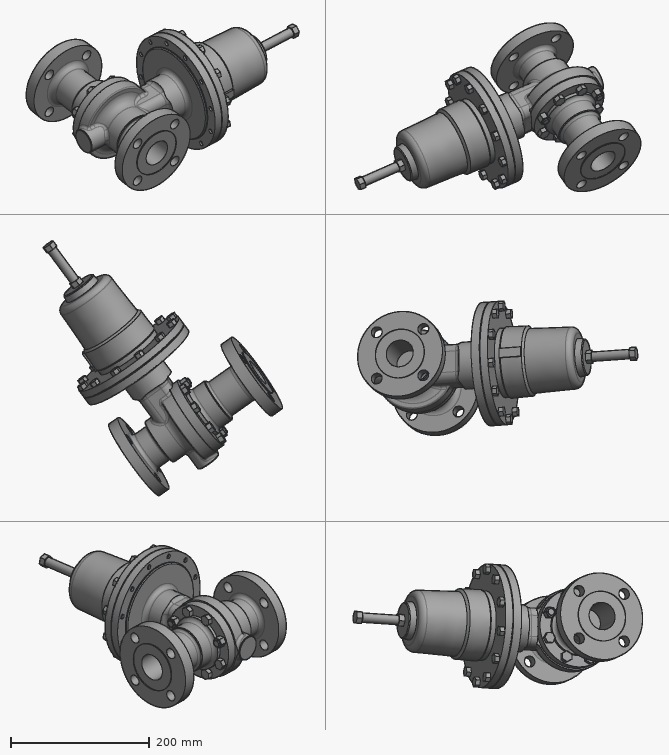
import cadquery as cq
import math


pipe_radius = 29.6
flange_radius = 63.5
raised_face_radius = 36.5
raised_face_height = 1.6
flange_bolt_circle_radius = 49.2
flange_hole_diameter = 15.9
flange_hole_count = 4
bore_diameter = 40.0
bore_depth = 60.0
inlet_face_x = -135.03
face_to_face = 222.25
outlet_face_x = inlet_face_x + face_to_face
inlet_flange_back_x = -115.2
outlet_flange_back_x = 69.0
inlet_hub_fillet = 9.0
outlet_hub_fillet = 6.4

bonnet_hub_radius = 34.5
bonnet_hub_start_x = -67.0
bonnet_hub_chamfer = 1.3
bonnet_step_fillet = 3.8
bonnet_boss_radius = 41.0
bonnet_boss_x = -38.3
bonnet_boss_fillet = 6.2
bonnet_plate_radius = 57.5
bonnet_plate_x = -33.3
bonnet_bolt_circle_radius = 48.0
bonnet_bolt_count = 8
bonnet_bolt_flats = 14.2
bonnet_bolt_head_height = 7.4
bonnet_nut_height = 9.9
bonnet_nut_chamfer_angle = 30.0
bonnet_stud_diameter = 10.0
bonnet_stud_length = 12.3
bonnet_nut_angles = (22.5, 157.5)

body_flange_radius = 59.7
body_flange_x = -18.9
body_flange_edge_radius = 1.8
body_face_x = 0.0
body_radius = 36.0
body_fillet = 15.6
body_end_x = 40.9
body_edge_chamfer = 1.2
body_step_fillet = 2.6

stub_radius = 18.6
stub_end_y = -65.54
stub_chamfer = 1.0
stem_center_x = 1.1
stem_width_x = 50.6
stem_width_z = 57.2
stem_corner_radius = 13.0
stem_top_fillet = 6.5
branch_fillet = 5.0

neck_radius = 34.2
neck_bottom_y = 74.0
neck_fillet = 7.2
lip_radius = 73.0
lip_bottom_y = 103.8
lip_chamfer = 1.6
casing_radius = 89.66
casing_bottom_y = 107.1
casing_top_y = 131.7
diaphragm_radius = 85.0
diaphragm_center_y = 120.0
diaphragm_thickness = 1.2
casing_bolt_circle_radius = 82.0
casing_bolt_count = 12
casing_bolt_flats = 12.7
casing_bolt_head_height = 7.0
casing_hole_diameter = 7.0
casing_hole_depth = 3.0

collar_radius = 50.5
collar_top_y = 139.3
skirt_bottom_radius = 52.0
skirt_bottom_y = 141.0
skirt_top_radius = 51.2
skirt_top_y = 172.2
cover_bottom_radius = 47.2
cover_bottom_y = 175.5
cover_top_radius = 45.2
cover_shoulder_y = 236.4
cover_top_y = 245.9
cover_corner_radius = cover_top_y - cover_shoulder_y
cap_bottom_radius = 28.0
cap_top_radius = 26.5
cap_top_y = 256.8
cap_chamfer = 1.5

screw_radius = 7.0
screw_hex_flats = 16.7
screw_hex_angle = 15.0
lock_nut_top_y = 265.2
screw_head_bottom_y = 321.8
overall_length_y = 396.24
screw_head_top_y = stub_end_y + overall_length_y

vent_width = 14.0
vent_outer_x = 54.0
vent_bottom_y = 139.3
vent_top_y = 171.5

EDGE_PROBE = 0.37
TOUCH_TOLERANCE = 0.001


def disc(plane, radius, start, end):
    """Cylinder on the X axis ("YZ") or the Y axis ("XZ") between two stations."""
    if plane == "YZ":
        return cq.Workplane("YZ").workplane(offset=start).circle(radius).extrude(end - start)
    return cq.Workplane("XZ").workplane(offset=-start).circle(radius).extrude(start - end)


def hexagon(plane, flats, start, length, center=(0, 0), angle=0.0):
    """Hexagonal prism with one corner at the given angle, growing along the plane normal."""
    corner_radius = flats / math.sqrt(3)
    corners = []
    for i in range(6):
        a = math.radians(angle + 60 * i)
        corners.append((center[0] + corner_radius * math.cos(a), center[1] + corner_radius * math.sin(a)))
    return cq.Workplane(plane).workplane(offset=start).polyline(corners).close().extrude(length)


def ring_point(radius, angle):
    """Point on a circle about the origin, with the angle in degrees."""
    a = math.radians(angle)
    return (radius * math.cos(a), radius * math.sin(a))


def arc_to(profile, start, end, center):
    """Add the shorter arc about the centre from start to end to the profile."""
    radius = math.dist(start, center)
    mid = ((start[0] + end[0]) / 2 - center[0], (start[1] + end[1]) / 2 - center[1])
    scale = radius / math.hypot(*mid)
    return profile.threePointArc((center[0] + mid[0] * scale, center[1] + mid[1] * scale), end)


def make_inlet():
    """Inlet flange, pipe and bonnet revolved about the X axis; profile is (x, radius)."""
    hub_end_x = inlet_flange_back_x + inlet_hub_fillet
    step_start_x = bonnet_hub_start_x - bonnet_step_fillet + bonnet_hub_chamfer
    step_end_x = step_start_x + bonnet_step_fillet
    step_top = pipe_radius + bonnet_step_fillet
    boss_fillet_x = bonnet_boss_x - bonnet_boss_fillet
    boss_fillet_top = bonnet_hub_radius + bonnet_boss_fillet
    hub_top = pipe_radius + inlet_hub_fillet
    rf_end_x = inlet_face_x + raised_face_height
    profile = (
        cq.Workplane("XY")
        .moveTo(inlet_face_x, 0)
        .lineTo(inlet_face_x, raised_face_radius)
        .lineTo(rf_end_x, raised_face_radius)
        .lineTo(rf_end_x, flange_radius)
        .lineTo(inlet_flange_back_x, flange_radius)
        .lineTo(inlet_flange_back_x, hub_top)
    )
    profile = arc_to(profile, (inlet_flange_back_x, hub_top), (hub_end_x, pipe_radius), (hub_end_x, hub_top))
    profile = profile.lineTo(step_start_x, pipe_radius)
    profile = arc_to(profile, (step_start_x, pipe_radius), (step_end_x, step_top), (step_start_x, step_top))
    profile = profile.lineTo(step_end_x + bonnet_hub_chamfer, bonnet_hub_radius)
    profile = profile.lineTo(boss_fillet_x, bonnet_hub_radius)
    profile = arc_to(
        profile,
        (boss_fillet_x, bonnet_hub_radius),
        (bonnet_boss_x, boss_fillet_top),
        (boss_fillet_x, boss_fillet_top),
    )
    profile = (
        profile.lineTo(bonnet_boss_x, bonnet_boss_radius)
        .lineTo(bonnet_plate_x, bonnet_boss_radius)
        .lineTo(bonnet_plate_x, bonnet_plate_radius)
        .lineTo(body_flange_x, bonnet_plate_radius)
        .lineTo(body_flange_x, 0)
        .close()
    )
    return profile.revolve(360, (0, 0, 0), (1, 0, 0))


def joint_edges(joined, first, second):
    """Edges of the joined solid that lie on the surfaces of both of its parts."""
    shells = (first.val().Shells()[0], second.val().Shells()[0])
    joint = []
    for edge in joined.edges().vals():
        probe = cq.Vertex.makeVertex(*edge.positionAt(EDGE_PROBE).toTuple())
        if all(shell.distance(probe) < TOUCH_TOLERANCE for shell in shells):
            joint.append(edge)
    return joined.newObject(joint)


def blend(barrel, branch):
    """Join a branch to the barrel with a fillet along their intersection."""
    return joint_edges(barrel.union(branch), barrel, branch).fillet(branch_fillet)


def make_barrel():
    """Body barrel revolved about the X axis, reaching past its flange face by the thickness of the plate."""
    flange_edge_x = body_face_x - body_flange_edge_radius
    edge_top = body_flange_radius - body_flange_edge_radius
    fillet_end_x = body_face_x + body_fillet
    fillet_top = body_radius + body_fillet
    profile = (
        cq.Workplane("XY")
        .moveTo(bonnet_plate_x, 0)
        .lineTo(bonnet_plate_x, body_flange_radius)
        .lineTo(flange_edge_x, body_flange_radius)
    )
    profile = arc_to(
        profile, (flange_edge_x, body_flange_radius), (body_face_x, edge_top), (flange_edge_x, edge_top)
    )
    profile = profile.lineTo(body_face_x, fillet_top)
    profile = arc_to(
        profile, (body_face_x, fillet_top), (fillet_end_x, body_radius), (fillet_end_x, fillet_top)
    )
    profile = (
        profile.lineTo(body_end_x - body_edge_chamfer, body_radius)
        .lineTo(body_end_x, body_radius - body_edge_chamfer)
        .lineTo(body_end_x, 0)
        .close()
    )
    return profile.revolve(360, (0, 0, 0), (1, 0, 0))


def make_stem():
    """Rounded rectangular stem from the pipe axis up to the neck."""
    return (
        cq.Workplane("XZ")
        .center(stem_center_x, 0)
        .rect(stem_width_x, stem_width_z)
        .extrude(-neck_bottom_y)
        .edges("|Y")
        .fillet(stem_corner_radius)
    )


def make_body():
    """Barrel with the stem and the side stub blended in, ending flat at the body flange face."""
    barrel = make_barrel()
    stem = make_stem()
    stub = disc("XZ", stub_radius, 0, stub_end_y).faces("<Y").chamfer(stub_chamfer)
    body = blend(barrel, stem).union(blend(barrel, stub))
    body = body.cut(disc("YZ", body_flange_radius + branch_fillet * 2, bonnet_plate_x, body_flange_x))
    stem_above_plate = stem.intersect(disc("XZ", 2 * neck_radius, bonnet_plate_radius, neck_bottom_y))
    return body.union(stem_above_plate)


def make_outlet():
    """Outlet pipe and flange revolved about the X axis; profile is (x, radius)."""
    step_end_x = body_end_x + body_step_fillet
    step_top = pipe_radius + body_step_fillet
    hub_start_x = outlet_flange_back_x - outlet_hub_fillet
    hub_top = pipe_radius + outlet_hub_fillet
    rf_start_x = outlet_face_x - raised_face_height
    profile = cq.Workplane("XY").moveTo(body_face_x, 0).lineTo(body_face_x, step_top)
    profile = profile.lineTo(body_end_x, step_top)
    profile = arc_to(profile, (body_end_x, step_top), (step_end_x, pipe_radius), (step_end_x, step_top))
    profile = profile.lineTo(hub_start_x, pipe_radius)
    profile = arc_to(
        profile, (hub_start_x, pipe_radius), (outlet_flange_back_x, hub_top), (hub_start_x, hub_top)
    )
    profile = (
        profile.lineTo(outlet_flange_back_x, flange_radius)
        .lineTo(rf_start_x, flange_radius)
        .lineTo(rf_start_x, raised_face_radius)
        .lineTo(outlet_face_x, raised_face_radius)
        .lineTo(outlet_face_x, 0)
        .close()
    )
    return profile.revolve(360, (0, 0, 0), (1, 0, 0))


def make_actuator():
    """Neck, diaphragm casing and spring cover revolved about the Y axis; profile is (radius, y)."""
    neck_end_y = lip_bottom_y - neck_fillet
    neck_top = neck_radius + neck_fillet
    groove_bottom_y = diaphragm_center_y - diaphragm_thickness / 2
    groove_top_y = diaphragm_center_y + diaphragm_thickness / 2
    shoulder_radius = cover_top_radius - cover_corner_radius
    profile = (
        cq.Workplane("XY")
        .moveTo(0, neck_bottom_y)
        .lineTo(neck_radius, neck_bottom_y)
        .lineTo(neck_radius, neck_end_y)
    )
    profile = arc_to(profile, (neck_radius, neck_end_y), (neck_top, lip_bottom_y), (neck_top, neck_end_y))
    profile = (
        profile.lineTo(lip_radius - lip_chamfer, lip_bottom_y)
        .lineTo(lip_radius, lip_bottom_y + lip_chamfer)
        .lineTo(lip_radius, casing_bottom_y)
        .lineTo(casing_radius, casing_bottom_y)
        .lineTo(casing_radius, groove_bottom_y)
        .lineTo(diaphragm_radius, groove_bottom_y)
        .lineTo(diaphragm_radius, groove_top_y)
        .lineTo(casing_radius, groove_top_y)
        .lineTo(casing_radius, casing_top_y)
        .lineTo(collar_radius, casing_top_y)
        .lineTo(collar_radius, collar_top_y)
        .lineTo(skirt_bottom_radius, skirt_bottom_y)
        .lineTo(skirt_top_radius, skirt_top_y)
        .lineTo(cover_bottom_radius, cover_bottom_y)
        .lineTo(cover_top_radius, cover_shoulder_y)
    )
    profile = arc_to(
        profile,
        (cover_top_radius, cover_shoulder_y),
        (shoulder_radius, cover_top_y),
        (shoulder_radius, cover_shoulder_y),
    )
    profile = (
        profile.lineTo(cap_bottom_radius, cover_top_y)
        .lineTo(cap_top_radius, cap_top_y - cap_chamfer)
        .lineTo(cap_top_radius - cap_chamfer, cap_top_y)
        .lineTo(0, cap_top_y)
        .close()
    )
    return profile.revolve(360, (0, 0, 0), (0, 1, 0))


def make_stem_collar():
    """Concave flare where the stem meets the underside of the neck, trimmed to the neck outline."""
    plate = disc("XZ", neck_radius + 2 * stem_top_fillet, neck_bottom_y, neck_bottom_y + neck_fillet)
    stem = make_stem()
    flared = joint_edges(plate.union(stem), plate, stem).fillet(stem_top_fillet)
    return flared.intersect(
        disc("XZ", neck_radius, neck_bottom_y - 2 * stem_top_fillet, neck_bottom_y + neck_fillet)
    )


def make_screw():
    """Adjusting screw with its lock nut and hexagon head, on the Y axis."""
    shank = disc("XZ", screw_radius, cap_top_y, screw_head_bottom_y)
    nut_height = lock_nut_top_y - cap_top_y
    head_height = screw_head_top_y - screw_head_bottom_y
    nut = hexagon("XZ", screw_hex_flats, -cap_top_y, -nut_height, angle=screw_hex_angle)
    head = hexagon("XZ", screw_hex_flats, -screw_head_bottom_y, -head_height, angle=screw_hex_angle)
    return [shank, nut, head]


def make_vent():
    """Rectangular vent boss on the +X side of the skirt."""
    height = vent_top_y - vent_bottom_y
    return (
        cq.Workplane("XY")
        .box(vent_outer_x, height, vent_width, centered=(False, False, True))
        .translate((0, vent_bottom_y, 0))
    )


def make_casing_bolts():
    """Hexagon heads on the spring side of the diaphragm casing."""
    heads = []
    for i in range(casing_bolt_count):
        angle = (i + 0.5) * 360 / casing_bolt_count
        point = ring_point(casing_bolt_circle_radius, angle)
        heads.append(
            hexagon("XZ", casing_bolt_flats, -casing_top_y, -casing_bolt_head_height, point, angle)
        )
    return heads


def make_casing_holes():
    """Shallow holes on the pipe side of the diaphragm casing, opposite the bolt heads."""
    angles = [(i + 0.5) * 360 / casing_bolt_count for i in range(casing_bolt_count)]
    return (
        cq.Workplane("XZ")
        .workplane(offset=-casing_bottom_y)
        .pushPoints([ring_point(casing_bolt_circle_radius, angle) for angle in angles])
        .circle(casing_hole_diameter / 2)
        .extrude(-casing_hole_depth)
    )


def make_bonnet_bolts():
    """Bolt heads on the bonnet plate; two places carry a chamfered nut on a stud."""
    parts = []
    for i in range(bonnet_bolt_count):
        angle = (i + 0.5) * 360 / bonnet_bolt_count
        point = ring_point(bonnet_bolt_circle_radius, angle)
        corner_angle = 90 * round(angle / 90)
        if angle in bonnet_nut_angles:
            parts.append(make_bonnet_nut(point, corner_angle))
            stud = cq.Workplane("YZ").workplane(offset=bonnet_plate_x).center(*point)
            parts.append(stud.circle(bonnet_stud_diameter / 2).extrude(-bonnet_stud_length))
        else:
            head = hexagon(
                "YZ", bonnet_bolt_flats, bonnet_plate_x, -bonnet_bolt_head_height, point, corner_angle
            )
            parts.append(head)
    return parts


def make_bonnet_nut(point, corner_angle):
    """Hexagon nut whose outer corners are cut by a cone."""
    nut = hexagon("YZ", bonnet_bolt_flats, bonnet_plate_x, -bonnet_nut_height, point, corner_angle)
    taper_run = bonnet_nut_height * math.tan(math.radians(90 - bonnet_nut_chamfer_angle))
    cone = (
        cq.Workplane("YZ")
        .workplane(offset=bonnet_plate_x)
        .center(*point)
        .circle(bonnet_bolt_flats / 2 + taper_run)
        .extrude(-bonnet_nut_height, taper=90 - bonnet_nut_chamfer_angle)
    )
    return nut.intersect(cone)


def make_flange_holes(start_x, end_x):
    """Bolt holes through one pipe flange."""
    return (
        cq.Workplane("YZ")
        .workplane(offset=start_x)
        .polarArray(flange_bolt_circle_radius, 180 / flange_hole_count, 360, flange_hole_count)
        .circle(flange_hole_diameter / 2)
        .extrude(end_x - start_x)
    )


result = make_body().union(make_inlet()).union(make_outlet())
result = result.union(make_stem_collar()).union(make_actuator()).union(make_vent())
for part in make_screw() + make_casing_bolts() + make_bonnet_bolts():
    result = result.union(part)

result = result.cut(disc("YZ", bore_diameter / 2, inlet_face_x, inlet_face_x + bore_depth))
result = result.cut(disc("YZ", bore_diameter / 2, outlet_face_x - bore_depth, outlet_face_x))
result = result.cut(make_flange_holes(inlet_face_x, inlet_flange_back_x))
result = result.cut(make_flange_holes(outlet_flange_back_x, outlet_face_x))
result = result.cut(make_casing_holes())